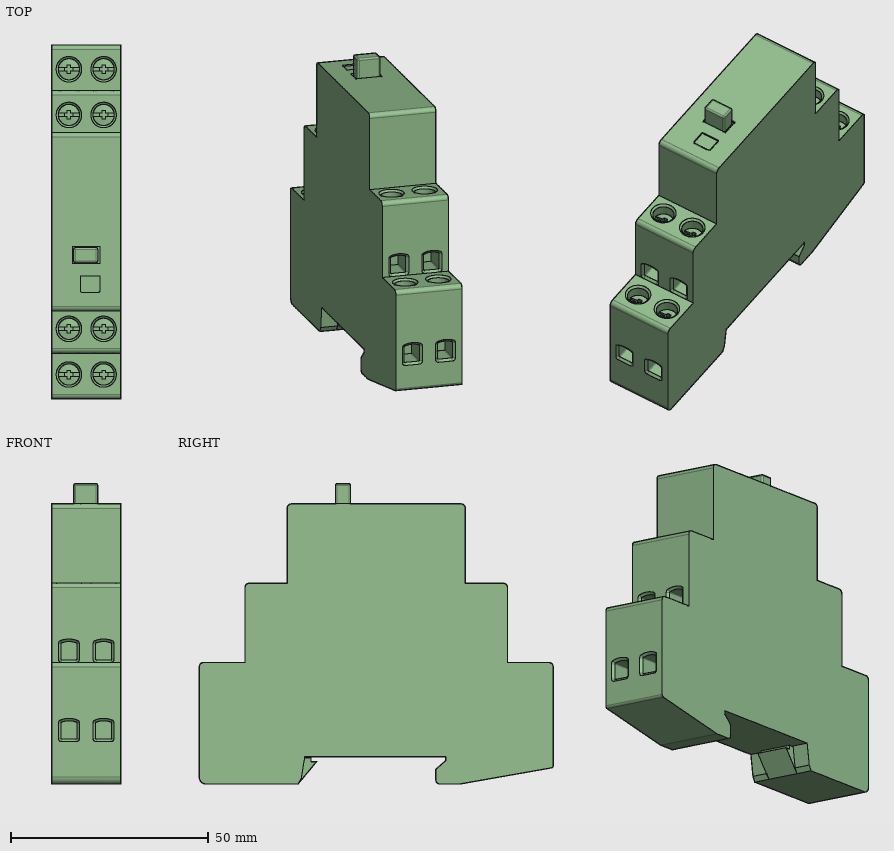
import cadquery as cq
import math

width = 17.6
overall_height = 76.2
top_height = 71.1
step_height = 20.1
tier_tops = [top_height - 2 * step_height, top_height - step_height, top_height]
tier_half_lengths = [44.9, 33.3, 22.6]
tier_round = 1.2

rail_height = 6.9
foot_round = 1.8
hook_round = 1.1
slope_round = 0.6
slope_start_y = 21.1
slope_angle = 10.0
hook_tip_y = 15.1
hook_tip_height = 3.8
hook_root_y = 17.6
hook_root_height = 6.0
heel_top_y = -18.1
heel_knee = (-19.0, 1.35)
heel_bottom_y = -19.85

latch_width = width / 2
latch_tip = (-15.1, 5.75)
latch_notch_y = -16.5
latch_top_height = 6.7

screw_x = 4.4
screw_rows = [38.7, 27.1]
well_radius = 2.7
well_rim_radius = 3.2
well_depth = 3.2
head_rise = 0.45
slot_width = 0.9
slot_depth = 0.45
cross_span = 2.2
cross_depth = 0.9

entry_width = 5.3
entry_side_height = 5.3
entry_arch_height = 5.9
entry_corner_round = 0.8
entry_bevel = 0.6
entry_depth = 7.2

button_width = 6.1
button_length = 3.9
button_x = -0.135
button_y = -8.4
button_round = 0.45
recess_width = 6.9
recess_length = 4.3
recess_y = -8.35
recess_depth = 0.5
window_width = 4.9
window_length = 4.1
window_x = 1.0
window_y = -15.8
window_depth = 0.4
window_corner_round = 0.4


def extrude_across(points, thickness):
    """Extrude a closed (y, z) outline symmetrically about the X = 0 plane."""
    return cq.Workplane("YZ").polyline(points).close().extrude(thickness / 2, both=True)


def round_corners(body, corners, radius):
    """Round the edges along X that pass through the given (y, z) corners."""
    for y, z in corners:
        body = body.edges(cq.selectors.NearestToPointSelector((0, y, z))).fillet(radius)
    return body


def make_housing():
    end_y = tier_half_lengths[0]
    slope_end = (end_y, (end_y - slope_start_y) * math.tan(math.radians(slope_angle)))
    foot_corner = (-end_y, 0)
    hook_corner = (hook_tip_y, 0)

    step_side = []
    for half_length, upper in zip(tier_half_lengths, tier_tops):
        if step_side:
            step_side.append((half_length, step_side[-1][1]))
        step_side.append((half_length, upper))
    opposite_side = [(-y, z) for y, z in reversed(step_side)]

    underside = [
        foot_corner,
        (heel_bottom_y, 0),
        heel_knee,
        (heel_top_y, rail_height),
        (hook_root_y, rail_height),
        (hook_root_y, hook_root_height),
        (hook_tip_y, hook_tip_height),
        hook_corner,
        (slope_start_y, 0),
        slope_end,
    ]
    housing = extrude_across(step_side + opposite_side + underside, width)

    tier_corners = []
    for half_length, upper in zip(tier_half_lengths, tier_tops):
        tier_corners += [(half_length, upper), (-half_length, upper)]
    housing = round_corners(housing, tier_corners, tier_round)
    housing = round_corners(housing, [foot_corner], foot_round)
    housing = round_corners(housing, [hook_corner], hook_round)
    return round_corners(housing, [slope_end], slope_round)


def make_latch():
    outline = [
        latch_tip,
        (latch_notch_y, latch_tip[1]),
        (latch_notch_y, latch_top_height),
        (heel_top_y, latch_top_height),
        (heel_top_y, rail_height),
        (heel_bottom_y, rail_height),
        (heel_bottom_y, 0),
    ]
    return extrude_across(outline, latch_width)


def make_screw_well():
    """Cutter for one well whose rim lies at Z = 0, leaving a slotted conical screw head."""
    rim_bevel = well_rim_radius - well_radius
    head_edge = -well_depth
    well = (
        cq.Workplane("XZ")
        .moveTo(0, 0)
        .lineTo(well_rim_radius, 0)
        .lineTo(well_radius, -rim_bevel)
        .lineTo(well_radius, head_edge)
        .lineTo(0, head_edge + head_rise)
        .close()
        .revolve(360, (0, 0, 0), (0, 1, 0))
    )
    slot = cq.Workplane("XY").box(2 * well_radius, slot_width, head_rise + slot_depth)
    slot = slot.intersect(cq.Workplane("XY").circle(well_radius).extrude(well_depth, both=True))
    cross = cq.Workplane("XY").box(cross_span, slot_width, head_rise + cross_depth)
    cross = cross.union(cross.rotate((0, 0, 0), (0, 0, 1), 90))
    slot_middle = head_edge + (head_rise - slot_depth) / 2
    cross_middle = head_edge + (head_rise - cross_depth) / 2
    return well.union(slot.translate((0, 0, slot_middle))).union(cross.translate((0, 0, cross_middle)))


def make_wire_entry():
    """Cutter for one wire entry in a face at Y = 0: a bevelled arched mouth and a straight pocket."""
    half = entry_width / 2
    arch = (
        cq.Sketch()
        .segment((-half, 0), (half, 0))
        .segment((half, entry_side_height))
        .arc((half, entry_side_height), (0, entry_arch_height), (-half, entry_side_height))
        .close()
        .assemble()
        .vertices()
        .fillet(entry_corner_round)
    )
    mouth = cq.Workplane("XZ").placeSketch(arch).extrude(-entry_bevel, taper=45)
    pocket = mouth.faces(">Y").wires().toPending().workplane().extrude(entry_depth - entry_bevel)
    return mouth.union(pocket)


def cut_terminals(body):
    """Cut the screw wells and wire entries of the two lower steps at both ends."""
    well = make_screw_well()
    front_entry = make_wire_entry()
    back_entry = front_entry.mirror("XZ")
    lower_steps = zip(tier_half_lengths, tier_tops, screw_rows)
    for half_length, upper, screw_row in lower_steps:
        sill = upper - step_height
        for x in (-screw_x, screw_x):
            body = body.cut(well.translate((x, screw_row, upper)))
            body = body.cut(well.translate((x, -screw_row, upper)))
            body = body.cut(front_entry.translate((x, -half_length, sill)))
            body = body.cut(back_entry.translate((x, half_length, sill)))
    return body


def add_button(body):
    """Cut the button recess in the top face and stand the button on its floor."""
    floor = top_height - recess_depth
    recess = (
        cq.Workplane("XY", origin=(0, recess_y, floor))
        .rect(recess_width, recess_length)
        .extrude(recess_depth)
    )
    button = (
        cq.Workplane("XY", origin=(button_x, button_y, floor))
        .rect(button_width, button_length)
        .extrude(overall_height - floor)
        .edges("|Z")
        .fillet(button_round)
        .faces(">Z")
        .edges()
        .fillet(button_round)
    )
    return body.cut(recess).union(button)


def cut_window(body):
    window = (
        cq.Workplane("XY", origin=(window_x, window_y, top_height - window_depth))
        .rect(window_width, window_length)
        .extrude(window_depth)
        .edges("|Z and <Y")
        .fillet(window_corner_round)
    )
    return body.cut(window)


housing = make_housing().union(make_latch())
housing = cut_terminals(housing)
housing = cut_window(housing)
result = add_button(housing)